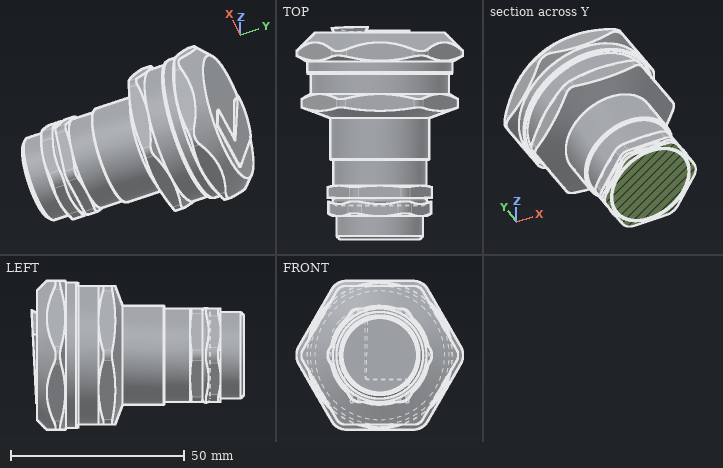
import cadquery as cq
import math


FRONT_NUT_START = 6.75
SEAL_START = 10.0
REAR_NUT_START = 12.05
REAR_NUT_END = 15.55
COLLAR_START = 23.0
BODY_HEX_START = 35.0
BODY_HEX_END = 42.0
FLANGE_START = 47.8
CAP_START = 51.3
CAP_END = 59.75

SPIGOT_DIAMETER = 25.0
NECK_DIAMETER = 27.0
COLLAR_DIAMETER = 28.6
BARREL_DIAMETER = 40.0
FLANGE_DIAMETER = 42.0

SPIGOT_CHAMFER = 1.0
RECESS_MOUTH_DIAMETER = 21.8
RECESS_FLOOR_DIAMETER = 21.5
RECESS_DEPTH = 0.2

COLLAR_EDGE_BREAK = 0.2
FLANGE_EDGE_LENGTH = 0.6
FLANGE_EDGE_DEPTH = 0.2

SMALL_HEX_FLATS = 27.0
FRONT_NUT_CORNER_RADIUS = 4.5
REAR_NUT_CORNER_RADIUS = 3.0
BODY_HEX_FLATS = 40.0
BODY_HEX_CORNER_RADIUS = 3.0
CAP_FLATS = 43.0
CAP_CORNER_RADIUS = 5.0
HALF_FACET_ANGLE = math.radians(30)

STEEP_SLOPE = math.tan(math.radians(30))
SHALLOW_SLOPE = math.tan(math.radians(15))
BODY_CONE_SLOPE = math.tan(math.radians(20.5))
CAP_REAR_SLOPE = math.tan(math.radians(45))

SEAL_DIAMETER = 27.4
SEAL_CORE_DIAMETER = 25.4
NUT_FLAT_OVERLAP = 0.25

CAP_FRONT_DIAMETER = 42.0
CAP_REAR_DIAMETER = 37.3

PAD_TOP_RIGHT = (-3.4, 13.0)
PAD_SHOULDER = (-10.5, 11.0)
PAD_LEFT = (-14.1, 6.0)
PAD_BOTTOM_LEFT = (-9.0, -14.5)
PAD_FOOT_RIGHT = 9.1
PAD_FOOT_TOP = -6.3
PAD_PEAK_Y = 61.33
PAD_LOW_HEIGHT = 0.15
PAD_UNDERCUT_ANGLE = 28.0


def ring(diameter, start, end):
    """Solid round stretch between two positions along Y."""
    return cq.Workplane("XZ", origin=(0, start, 0)).circle(diameter / 2).extrude(start - end)


def turned(points):
    """Solid of revolution about Y from (radius, y) points."""
    return cq.Workplane("XY").polyline(points).close().revolve(360, (0, 0, 0), (0, 1, 0))


def hexagon(flats, corner_radius, start, end):
    """Hexagonal prism with rounded corners on +X and -X and flats on +Z and -Z."""
    across_corners = flats / math.cos(HALF_FACET_ANGLE)
    prism = cq.Workplane("XZ", origin=(0, start, 0)).polygon(6, across_corners).extrude(start - end)
    return prism.edges("|Y").fillet(corner_radius)


def coned_hexagon(flats, corner_radius, start, end, front=None, rear=None):
    """Hexagon turned at its ends; front and rear are (diameter at the end face, slope)."""
    outer = flats / math.cos(HALF_FACET_ANGLE) / 2
    points = [(0, start)]
    if front:
        radius = front[0] / 2
        points += [(radius, start), (outer, start + (outer - radius) * front[1])]
    else:
        points.append((outer, start))
    if rear:
        radius = rear[0] / 2
        points += [(outer, end - (outer - radius) * rear[1]), (radius, end)]
    else:
        points.append((outer, end))
    points.append((0, end))
    return hexagon(flats, corner_radius, start, end).intersect(turned(points))


def spigot():
    body = ring(SPIGOT_DIAMETER, 0, REAR_NUT_START).faces("<Y").chamfer(SPIGOT_CHAMFER)
    recess = turned([
        (0, 0),
        (RECESS_MOUTH_DIAMETER / 2, 0),
        (RECESS_FLOOR_DIAMETER / 2, RECESS_DEPTH),
        (0, RECESS_DEPTH),
    ])
    return body.cut(recess)


def front_nut():
    """Nut with a bevelled front and a hollow cone at the rear that exposes the seal."""
    outer = SMALL_HEX_FLATS / math.cos(HALF_FACET_ANGLE) / 2
    flat_radius = SMALL_HEX_FLATS / 2
    core_radius = SPIGOT_DIAMETER / 2
    flat_end = SEAL_START + NUT_FLAT_OVERLAP
    outer_end = flat_end + (outer - flat_radius) * STEEP_SLOPE
    core_end = flat_end - (flat_radius - core_radius) * STEEP_SLOPE
    blank = hexagon(SMALL_HEX_FLATS, FRONT_NUT_CORNER_RADIUS, FRONT_NUT_START, outer_end)
    envelope = turned([
        (0, FRONT_NUT_START),
        (flat_radius, FRONT_NUT_START),
        (outer, FRONT_NUT_START + (outer - flat_radius) * STEEP_SLOPE),
        (outer, outer_end),
        (core_radius, core_end),
        (0, core_end),
    ])
    return blank.intersect(envelope)


def seal():
    """Ring with a bulging outer surface."""
    core = SEAL_CORE_DIAMETER / 2
    middle = (SEAL_START + REAR_NUT_START) / 2
    profile = (
        cq.Workplane("XY")
        .moveTo(0, SEAL_START)
        .lineTo(core, SEAL_START)
        .threePointArc((SEAL_DIAMETER / 2, middle), (core, REAR_NUT_START))
        .lineTo(0, REAR_NUT_START)
        .close()
    )
    return profile.revolve(360, (0, 0, 0), (0, 1, 0))


def rear_nut():
    return coned_hexagon(
        SMALL_HEX_FLATS, REAR_NUT_CORNER_RADIUS, REAR_NUT_START, REAR_NUT_END,
        rear=(SMALL_HEX_FLATS, SHALLOW_SLOPE),
    )


def collar():
    body = ring(COLLAR_DIAMETER, COLLAR_START, BODY_HEX_START)
    return body.faces("<Y").chamfer(COLLAR_EDGE_BREAK)


def body_hexagon():
    return coned_hexagon(
        BODY_HEX_FLATS, BODY_HEX_CORNER_RADIUS, BODY_HEX_START, BODY_HEX_END,
        front=(COLLAR_DIAMETER, BODY_CONE_SLOPE),
        rear=(BODY_HEX_FLATS, STEEP_SLOPE),
    )


def flange():
    body = ring(FLANGE_DIAMETER, FLANGE_START, CAP_START)
    return body.faces("<Y").chamfer(FLANGE_EDGE_LENGTH, FLANGE_EDGE_DEPTH)


def cap():
    return coned_hexagon(
        CAP_FLATS, CAP_CORNER_RADIUS, CAP_START, CAP_END,
        front=(CAP_FRONT_DIAMETER, STEEP_SLOPE),
        rear=(CAP_REAR_DIAMETER, CAP_REAR_SLOPE),
    )


def raised_pad():
    right, top = PAD_TOP_RIGHT
    left = PAD_LEFT[0]
    bottom = PAD_BOTTOM_LEFT[1]
    block = (
        cq.Workplane("XZ", origin=(0, PAD_PEAK_Y, 0))
        .moveTo(right, top)
        .threePointArc(PAD_SHOULDER, PAD_LEFT)
        .lineTo(*PAD_BOTTOM_LEFT)
        .lineTo(PAD_FOOT_RIGHT, bottom)
        .lineTo(PAD_FOOT_RIGHT, PAD_FOOT_TOP)
        .lineTo(right, PAD_FOOT_TOP)
        .close()
        .extrude(PAD_PEAK_Y - CAP_END, taper=PAD_UNDERCUT_ANGLE)
    )
    slope = (
        cq.Workplane("YZ", origin=(left, 0, 0))
        .polyline([
            (CAP_END, bottom),
            (CAP_END + PAD_LOW_HEIGHT, bottom),
            (PAD_PEAK_Y, top),
            (CAP_END, top),
        ])
        .close()
        .extrude(PAD_FOOT_RIGHT - left)
    )
    return block.intersect(slope)


neck = ring(NECK_DIAMETER, REAR_NUT_END, COLLAR_START)
barrel = ring(BARREL_DIAMETER, BODY_HEX_END, FLANGE_START)

result = spigot()
for section in (
    front_nut(),
    seal(),
    rear_nut(),
    neck,
    collar(),
    body_hexagon(),
    barrel,
    flange(),
    cap(),
    raised_pad(),
):
    result = result.union(section)